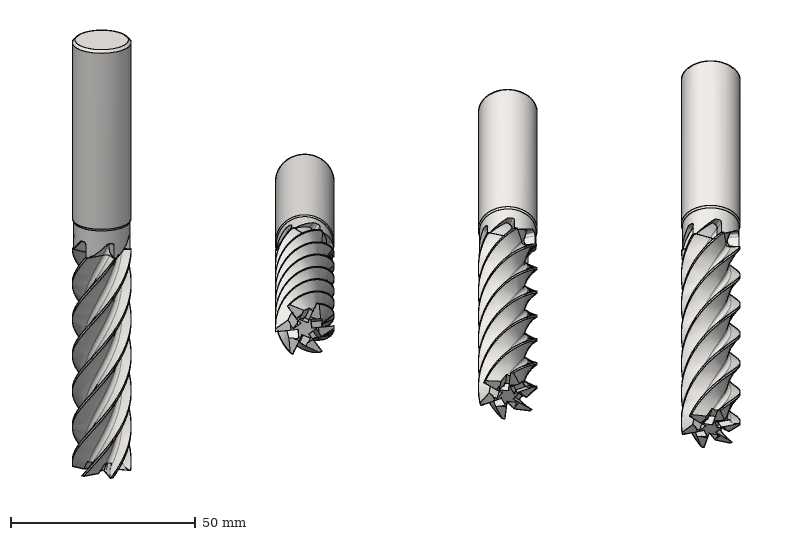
import cadquery as cq
import math

total_length = 125.0
shank_diameter = 16.0
cutting_length = 64.0
shank_chamfer = 0.8

neck_diameter = 15.4
neck_top = 72.2
neck_taper = 0.6

tooth_count = 6
tooth_pitch = 360.0 / tooth_count
helix_lead = 62.5
first_edge_angle = 2.0

cutting_radius = shank_diameter / 2
margin_angle = 5.0
heel_radius = 4.9
heel_angle = 37.0
rake_foot_radius = 5.5
rake_foot_angle = 57.0
floor_sag = 0.5

gash_depth = 3.1
gash_front_lean = 1.2
gash_root_width = 2.0
gash_mouth_width = 2.5
gash_start_radius = 1.9
end_relief = 0.8
relief_width = 5.5
relief_start_radius = 3.8

runout_height = 4.4
runout_base_width = 6.1
runout_tip_width = 1.8
runout_corner = 0.8
runout_clearance = 1.2


def polar(radius, degrees):
    """Point at a radius and an angle."""
    angle = math.radians(degrees)
    return (radius * math.cos(angle), radius * math.sin(angle))


def twist(height):
    """Rotation of the teeth, in degrees, over a height."""
    return 360.0 * height / helix_lead


def floor_middle(heel, rake_foot):
    """Lowest point of the concave flute floor."""
    middle_x = (heel[0] + rake_foot[0]) / 2
    middle_y = (heel[1] + rake_foot[1]) / 2
    chord_x = rake_foot[0] - heel[0]
    chord_y = rake_foot[1] - heel[1]
    chord = math.hypot(chord_x, chord_y)
    return (middle_x - floor_sag * chord_y / chord, middle_y + floor_sag * chord_x / chord)


def draw_flute(sketch, edge_angle):
    """Continue an outline from the back of the margin to the next cutting edge."""
    heel = polar(heel_radius, edge_angle + heel_angle)
    rake_foot = polar(rake_foot_radius, edge_angle + rake_foot_angle)
    return (
        sketch.lineTo(*heel)
        .threePointArc(floor_middle(heel, rake_foot), rake_foot)
        .lineTo(*polar(cutting_radius, edge_angle + tooth_pitch))
    )


def make_fluted_bar():
    """Six-tooth section twisted along the cutting length."""
    outline = cq.Workplane("XY").moveTo(*polar(cutting_radius, first_edge_angle))
    for tooth in range(tooth_count):
        edge_angle = first_edge_angle + tooth * tooth_pitch
        outline = outline.threePointArc(
            polar(cutting_radius, edge_angle + margin_angle / 2),
            polar(cutting_radius, edge_angle + margin_angle),
        )
        outline = draw_flute(outline, edge_angle)
    return outline.close().twistExtrude(cutting_length, twist(cutting_length))


def cut_along_edge(outline, start_radius):
    """Radial prism beside a cutting edge that lies along +X, from an outline in Y and Z."""
    return (
        cq.Workplane("YZ", origin=(start_radius, 0, 0))
        .polyline(outline).close().extrude(cutting_radius)
    )


def make_end_cut():
    """Gash in front of one cutting edge and the relief behind it."""
    gash = cut_along_edge(
        [
            (0, 0),
            (gash_front_lean, gash_depth),
            (gash_front_lean - gash_root_width, gash_depth),
            (-gash_mouth_width, 0),
        ],
        gash_start_radius,
    )
    relief = cut_along_edge(
        [(0, 0), (relief_width, end_relief), (relief_width, 0)],
        relief_start_radius,
    )
    return gash.union(relief)


def make_cutter():
    """Fluted bar with its end gashed and relieved at every tooth."""
    cutter = make_fluted_bar()
    end_cut = make_end_cut()
    for tooth in range(tooth_count):
        angle = first_edge_angle + tooth * tooth_pitch
        cutter = cutter.cut(end_cut.rotate((0, 0, 0), (0, 0, 1), angle))
    return cutter


def make_runout():
    """Flute end: helical on its back side, upright on its rake side."""
    edge_angle = first_edge_angle + twist(cutting_length)
    outside = cutting_radius + runout_clearance
    flute = cq.Workplane("XY", origin=(0, 0, cutting_length)).moveTo(
        *polar(cutting_radius, edge_angle + margin_angle)
    )
    flute = (
        draw_flute(flute, edge_angle)
        .lineTo(*polar(outside, edge_angle + tooth_pitch))
        .lineTo(*polar(outside, edge_angle + margin_angle))
        .close().twistExtrude(runout_height, twist(runout_height))
    )
    runout_top = cutting_length + runout_height
    window = (
        cq.Workplane("YZ")
        .moveTo(0, cutting_length)
        .lineTo(0, runout_top)
        .lineTo(-runout_tip_width, runout_top)
        .lineTo(-runout_base_width, cutting_length)
        .close().extrude(outside)
        .edges("|X and >Z").fillet(runout_corner)
        .rotate((0, 0, 0), (0, 0, 1), edge_angle + tooth_pitch)
    )
    return flute.intersect(window)


def make_shank():
    """Chamfered shank and neck, with the flutes running out into the neck."""
    shank_radius = shank_diameter / 2
    neck_radius = neck_diameter / 2
    shank = (
        cq.Workplane("XZ")
        .polyline([
            (0, cutting_length),
            (neck_radius, cutting_length),
            (neck_radius, neck_top),
            (shank_radius, neck_top + neck_taper),
            (shank_radius, total_length - shank_chamfer),
            (shank_radius - shank_chamfer, total_length),
            (0, total_length),
        ])
        .close().revolve(360, (0, 0), (0, 1))
    )
    runout = make_runout()
    for tooth in range(tooth_count):
        shank = shank.cut(runout.rotate((0, 0, 0), (0, 0, 1), tooth * tooth_pitch))
    return shank


shank = make_shank()
cutter = make_cutter()

result = cq.Compound.makeCompound([shank.val(), cutter.val()])